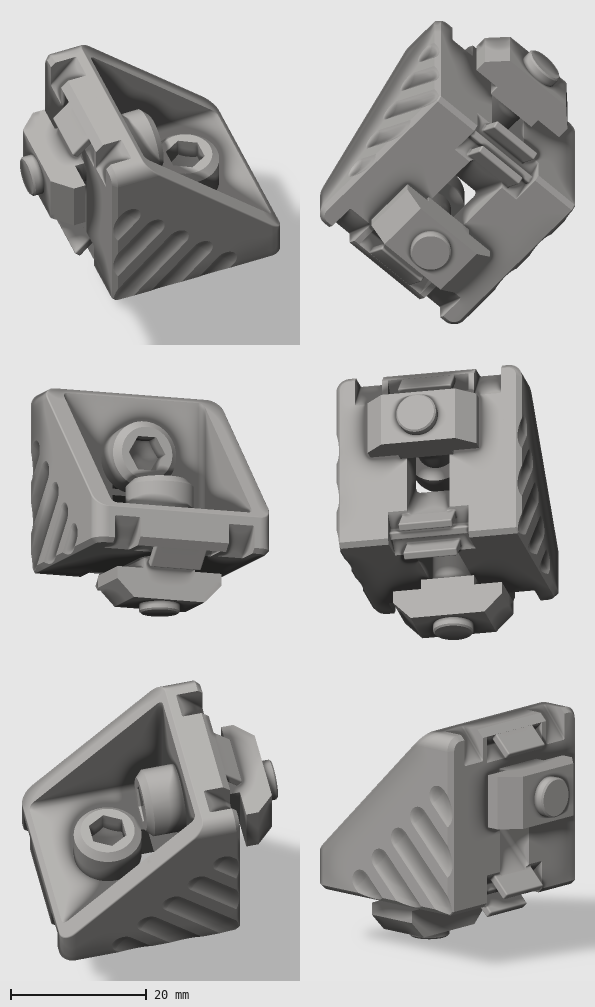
import cadquery as cq
import math

WIDTH = 28.0
LEG = 27.0
END_HEIGHT = 5.4
CORNER_RADIUS = 2.0
BASE_CHAMFER = 0.7
RIM_RADIUS = 0.2
SLOPE_SUM = LEG + END_HEIGHT

WALL = 6.12
CAVITY_WIDTH = 22.25
CAVITY_RADIUS = 0.77
CAVITY_CORNER_CHAMFER = 0.67

GROOVE_COUNT = 5
GROOVE_PITCH = 5.4
GROOVE_WIDTH = 3.4
GROOVE_DEPTH = 0.53
GROOVE_END_SUM = 20.38

TAB_WIDTH = 8.03
TAB_THICKNESS = 1.2
TAB_LENGTH = 3.65
SMALL_RADIUS = 0.2
RECESS_WIDTH = 12.15
BEVEL_DIFFERENCE = 25.9
UPPER_TAB_TOP = 25.87
LOWER_TAB_TOP = 4.1
UPPER_RECESS_FLOOR = 21.95
CORNER_CUT_SUM = 4.9
RIB_LENGTH = 1.2

NOTCH_INNER_X = 6.97
NOTCH_OUTER_X = 11.0
NOTCH_RUN = 4.0
NOTCH_DROP = 4.65

SLOT_WIDTH = 6.4
SLOT_FLOOR = 4.05
SLOT_FLOOR_RADIUS = 0.67
SLOT_END_SUM = 4.35

SCREW_HEIGHT = 16.9
HEAD_DIAMETER = 10.0
HEAD_HEIGHT = 5.77
HEAD_CHAMFER = 1.02
SHANK_DIAMETER = 6.0
FRONT_SHANK_LENGTH = 14.33
BOTTOM_SHANK_LENGTH = 14.1
TIP_CHAMFER = 0.25
HEX_SIDES = 6
HEX_ACROSS_FLATS = 5.0
HEX_DEPTH = 3.0
HEX_CONE_ANGLE = 30

NUT_WIDTH = 16.4
NUT_HEIGHT = 7.92
NUT_NECK_WIDTH = 8.03
NUT_NECK_DEPTH = 1.48
NUT_STRAIGHT_DEPTH = 1.83
NUT_TAPER = 2.65
FRONT_NUT_GAP = 0.67
BOTTOM_NUT_GAP = 0.77

ROOT2 = math.sqrt(2)
OVERCUT = 1.75
MIRROR_NORMAL = (0, 1, -1)


def diagonal(difference, total):
    """The (Y, Z) point with the given Z - Y and Y + Z."""
    return ((total - difference) / 2, (total + difference) / 2)


def prism(points, width):
    """A (Y, Z) outline extruded along X, centred on X = 0."""
    return cq.Workplane("YZ").polyline(points).close().extrude(width / 2, both=True)


def diagonal_block(low, high, start, end, width):
    """A block between two Z - Y values and two Y + Z values."""
    corners = [
        diagonal(low, start),
        diagonal(high, start),
        diagonal(high, end),
        diagonal(low, end),
    ]
    return prism(corners, width)


def front_cylinder(diameter, start_y, length):
    """A cylinder on the front screw axis, running from start_y towards -Y."""
    return cq.Workplane("XZ", origin=(0, start_y, SCREW_HEIGHT)).circle(diameter / 2).extrude(length)


def with_mirror(shape):
    """The shape together with its twin on the other side of the plane Y = Z."""
    return shape.union(shape.mirror(MIRROR_NORMAL))


def housing_block():
    """The solid wedge with rounded ends, chamfered mounting faces and a rounded slope outline."""
    outline = [(0, 0), (LEG, 0), (LEG, END_HEIGHT), (END_HEIGHT, LEG), (0, LEG)]
    block = prism(outline, WIDTH)
    block = block.faces(">Z").edges("|Y").fillet(CORNER_RADIUS)
    block = block.faces(">Y").edges("|Z").fillet(CORNER_RADIUS)
    block = block.faces("<Y or <Z").edges().chamfer(BASE_CHAMFER)
    return block.faces(">(0,1,1)").edges().fillet(RIM_RADIUS)


def cut_cavity(body):
    """The cavity open to the slope: rounded along both sides, bevelled at its inner corner."""
    far = SLOPE_SUM + OVERCUT
    bevel = WALL + CAVITY_CORNER_CHAMFER
    outline = [(bevel, WALL), (far, WALL), (far, far), (WALL, far), (WALL, bevel)]
    cavity = prism(outline, CAVITY_WIDTH)
    cavity = cavity.faces("<X or >X").edges("<Y or <Z or <(0,1,1)").fillet(CAVITY_RADIUS)
    return body.cut(cavity)


def side_grooves():
    """Round-ended grooves in both sides, all running out along the direction (0, -1, -1)."""
    ball_radius = (GROOVE_WIDTH**2 / 4 + GROOVE_DEPTH**2) / (2 * GROOVE_DEPTH)
    axis_x = WIDTH / 2 - GROOVE_DEPTH + ball_radius
    run_out = cq.Vector(0, -1, -1)
    grooves = []
    for side in (-1, 1):
        for index in range(GROOVE_COUNT):
            difference = (index - (GROOVE_COUNT - 1) / 2) * GROOVE_PITCH * ROOT2
            end = cq.Vector(side * axis_x, *diagonal(difference, GROOVE_END_SUM))
            grooves.append(cq.Solid.makeCylinder(ball_radius, LEG, end, run_out))
            grooves.append(cq.Solid.makeSphere(ball_radius, angleDegrees1=-90).moved(cq.Location(end)))
    return grooves


def outer_recess():
    """V-shaped recess behind the outer tab, with a rounded root."""
    high = BEVEL_DIFFERENCE + OVERCUT
    start = UPPER_RECESS_FLOOR - OVERCUT
    recess = diagonal_block(UPPER_RECESS_FLOOR, high, start, BEVEL_DIFFERENCE, RECESS_WIDTH)
    return recess.edges("|X").edges(">Y").fillet(SMALL_RADIUS)


def outer_bevel():
    """Bevel along the outer edge, just above the tab, between the two notches."""
    low = BEVEL_DIFFERENCE
    return diagonal_block(low, low + OVERCUT, low - OVERCUT, LEG + OVERCUT, 2 * NOTCH_INNER_X)


def notches():
    """Two steeply sloping notches across the outer edge, with rounded floor corners."""
    slope = NOTCH_DROP / NOTCH_RUN
    outline = [
        (-OVERCUT, LEG - NOTCH_DROP - OVERCUT * slope),
        (NOTCH_RUN + OVERCUT, LEG + OVERCUT * slope),
        (-OVERCUT, LEG + OVERCUT * slope),
    ]
    notch = prism(outline, NOTCH_OUTER_X - NOTCH_INNER_X)
    notch = notch.faces(">(0,1,-1)").edges("not |X").fillet(SMALL_RADIUS)
    middle = (NOTCH_INNER_X + NOTCH_OUTER_X) / 2
    return notch.translate((-middle, 0, 0)).union(notch.translate((middle, 0, 0)))


def corner_cut():
    """The cut across the bracket corner, leaving a rounded rib standing on its flat."""
    cut = diagonal_block(-LEG / 2, LEG / 2, -LEG, CORNER_CUT_SUM, RECESS_WIDTH)
    half_rib = TAB_THICKNESS / ROOT2
    rib_end = CORNER_CUT_SUM - RIB_LENGTH * ROOT2
    rib = diagonal_block(-half_rib, half_rib, rib_end, CORNER_CUT_SUM + OVERCUT, RECESS_WIDTH)
    cut = cut.cut(rib)
    rib_zone = cq.selectors.BoxSelector((-WIDTH, 0, 0), (WIDTH, CORNER_CUT_SUM, CORNER_CUT_SUM))
    return cut.edges("|X").edges(rib_zone).fillet(SMALL_RADIUS)


def tab(top, root):
    """A tab whose upper face has Z - Y = top, standing on the flat Y + Z = root."""
    bottom = top - TAB_THICKNESS * ROOT2
    tip = root - TAB_LENGTH * ROOT2
    block = diagonal_block(bottom, top, tip, root + SMALL_RADIUS, TAB_WIDTH)
    return block.edges("not(>(0,1,1))").fillet(SMALL_RADIUS)


def corner_tab():
    """The corner tab blended into a thin piece of the flat it stands on."""
    low = LOWER_TAB_TOP - TAB_THICKNESS * ROOT2 - 2 * SMALL_RADIUS
    high = LOWER_TAB_TOP + 2 * SMALL_RADIUS
    end = CORNER_CUT_SUM + SMALL_RADIUS
    base = diagonal_block(low, high, CORNER_CUT_SUM, end, TAB_WIDTH + 4 * SMALL_RADIUS)
    blank = tab(LOWER_TAB_TOP, CORNER_CUT_SUM).union(base)
    flat = blank.faces("<(0,1,1)[1]").val()
    return blank.newObject(flat.innerWires()[0].Edges()).fillet(SMALL_RADIUS)


def screw_slot():
    """Slot through the front wall: a round end at the screw, a sloping rounded floor at the tab."""
    inner = WALL + CAVITY_CORNER_CHAMFER
    outline = [
        diagonal(SLOT_FLOOR, SLOT_END_SUM),
        (inner, inner + SLOT_FLOOR),
        (inner, SCREW_HEIGHT),
        (-OVERCUT, SCREW_HEIGHT),
        (-OVERCUT, SLOT_END_SUM + OVERCUT),
    ]
    slot = prism(outline, SLOT_WIDTH)
    slot = slot.faces(">(0,1,-1)").edges("not |X").fillet(SLOT_FLOOR_RADIUS)
    return slot.union(front_cylinder(SLOT_WIDTH, inner, inner + OVERCUT))


def make_housing():
    """The wedge-shaped bracket with all its cuts and tabs."""
    body = cut_cavity(housing_block())
    for groove in side_grooves():
        body = body.cut(cq.Workplane(obj=groove))
    body = body.cut(with_mirror(outer_bevel()))
    body = body.cut(with_mirror(outer_recess()))
    body = body.cut(with_mirror(notches()))
    body = body.cut(corner_cut())
    body = body.union(with_mirror(tab(UPPER_TAB_TOP, BEVEL_DIFFERENCE)))
    body = body.union(with_mirror(corner_tab()))
    return body.cut(with_mirror(screw_slot()))


def make_screw(shank_length):
    """Socket-head screw through the front wall, its head seated on the cavity wall."""
    head_top = WALL + HEAD_HEIGHT
    head = front_cylinder(HEAD_DIAMETER, head_top, HEAD_HEIGHT)
    head = head.faces(">Y").edges().chamfer(HEAD_CHAMFER)
    shank = front_cylinder(SHANK_DIAMETER, WALL, shank_length)
    shank = shank.faces("<Y").edges().chamfer(TIP_CHAMFER)
    return head.union(shank).cut(hex_socket(head_top))


def hex_socket(mouth_y):
    """Hexagonal socket with a conical bottom."""
    across_corners = HEX_ACROSS_FLATS / math.cos(math.pi / HEX_SIDES)
    cone_depth = across_corners / 2 * math.tan(math.radians(HEX_CONE_ANGLE))
    full_depth = HEX_DEPTH + cone_depth
    hexagon = (
        cq.Workplane("XZ", origin=(0, mouth_y, SCREW_HEIGHT)).polygon(HEX_SIDES, across_corners).extrude(full_depth)
    )
    drill = (
        cq.Workplane("XY", origin=(0, mouth_y, SCREW_HEIGHT))
        .polyline([(0, 0), (across_corners / 2, 0), (across_corners / 2, -HEX_DEPTH), (0, -full_depth)])
        .close()
        .revolve(360, (0, 0, 0), (0, 1, 0))
    )
    return hexagon.intersect(drill)


def make_nut(gap):
    """T-slot nut in front of the front wall, its narrow neck facing the bracket."""
    neck = NUT_NECK_WIDTH / 2
    half = NUT_WIDTH / 2
    neck_y = -gap
    shoulder_y = neck_y - NUT_NECK_DEPTH
    taper_y = shoulder_y - NUT_STRAIGHT_DEPTH
    outer_y = taper_y - NUT_TAPER
    right_side = [
        (neck, neck_y),
        (neck, shoulder_y),
        (half, shoulder_y),
        (half, taper_y),
        (half - NUT_TAPER, outer_y),
    ]
    left_side = [(-x, y) for x, y in reversed(right_side)]
    body = (
        cq.Workplane("XY", origin=(0, 0, SCREW_HEIGHT))
        .polyline(right_side + left_side)
        .close()
        .extrude(NUT_HEIGHT / 2, both=True)
    )
    return body.cut(front_cylinder(SHANK_DIAMETER, 0, OVERCUT - outer_y))


housing = make_housing()
front_screw = make_screw(FRONT_SHANK_LENGTH)
bottom_screw = make_screw(BOTTOM_SHANK_LENGTH).mirror(MIRROR_NORMAL)
front_nut = make_nut(FRONT_NUT_GAP)
bottom_nut = make_nut(BOTTOM_NUT_GAP).mirror(MIRROR_NORMAL)
result = cq.Compound.makeCompound(
    [housing.val(), front_screw.val(), bottom_screw.val(), front_nut.val(), bottom_nut.val()]
)